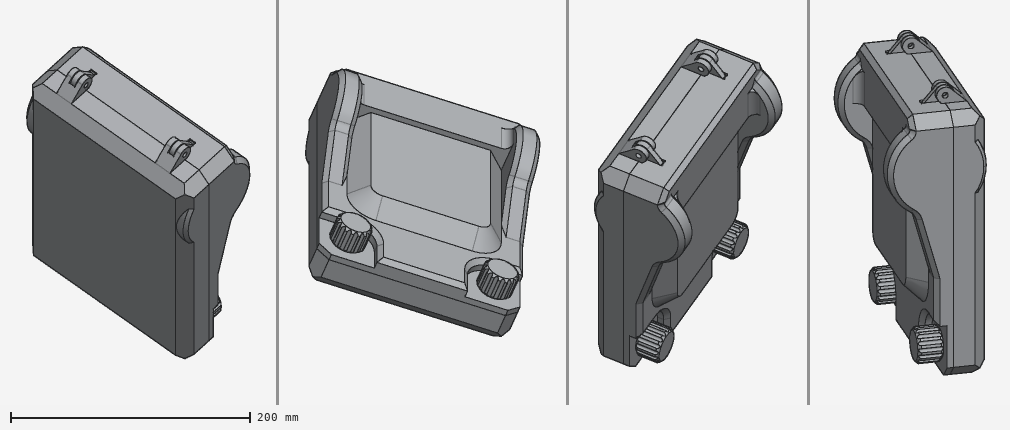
import cadquery as cq
import math

WIDTH = 180.0
HALF_WIDTH = WIDTH / 2
FULL_HEIGHT = 254.5
HEIGHT = 240.0
LID_DEPTH = 29.8
BIG_CHAMFER = 11.0
SMALL_CHAMFER = 4.3

EAR_RADIUS = 42.8
EAR_REAR = 56.2
EAR_Y = EAR_REAR - EAR_RADIUS
EAR_Z = 190.4
EAR_WIDTH = 20.9
EAR_INNER_X = HALF_WIDTH - EAR_WIDTH
EAR_BLEND = 7.6
LID_DISC_CHAMFER = 3.0

LOW_REAR = 16.0
HIGH_REAR = 36.6
RAMP_FOOT_Z = 92.0
RAMP_ANGLE = 15.5
RAMP_BLEND = 12.7
EAR_TOP_BLEND = 4.5

BLOCK_REAR = 31.5
BLOCK_BOTTOM_Z = 71.0
BLOCK_CORNER_Z = 81.5
BLOCK_RISE = BLOCK_REAR - LOW_REAR
BLOCK_HALF_WIDTH = EAR_INNER_X - BLOCK_RISE
CHAMFER_MARGIN = 0.003

KNOB_RADIUS = 15.8
KNOB_REAR = 28.0
KNOB_Z = 24.2
KNOB_X = HALF_WIDTH - KNOB_Z
KNOB_CHAMFER = 2.5
FLUTE_COUNT = 16
FLUTE_RADIUS = 1.8
FLUTE_TURN = -4
RECESS_FLOOR = 5.5
RECESS_RADIUS = 25.2

HINGE_X = 55.0
HINGE_RADIUS = 7.5
HINGE_Z = FULL_HEIGHT - HINGE_RADIUS
HINGE_HOLE_RADIUS = 2.5
HINGE_WIDTH = 16.5
SLOT_WIDTH = 6.4
SLOT_RADIUS = 9.0
TONGUE_WIDTH = 5.0
SOCKET_DEPTH = 1.8
SOCKET_REAR = 19.3
TONGUE_FOOT_Y = 17.8

SIDES = (-1, 1)


def extrude_x(outline, width, middle_x=0.0):
    """Solid from a YZ outline, centred on middle_x."""
    return outline.extrude(width / 2, both=True).translate((middle_x, 0, 0))


def box(x0, x1, y0, y1, z0, z1):
    return cq.Workplane("XY").box(x1 - x0, y1 - y0, z1 - z0, centered=False).translate((x0, y0, z0))


def octagon_box(rear):
    """Case block from the lid front to the given rear plane, with its four corners cut."""
    block = box(-HALF_WIDTH, HALF_WIDTH, -LID_DEPTH, rear, 0, HEIGHT)
    return block.edges("|Y").chamfer(BIG_CHAMFER)


def disc_x(radius, width, middle_x, y, z):
    return extrude_x(cq.Workplane("YZ").center(y, z).circle(radius), width, middle_x)


def tangent_angle(foot_y):
    """Polar angle at which a line from (foot_y, HEIGHT) touches the top of the hinge barrel."""
    drop = HEIGHT - HINGE_Z
    spread = math.acos(HINGE_RADIUS / math.hypot(foot_y, drop))
    foot_angle = math.atan2(drop, foot_y)
    return foot_angle + spread if foot_y > 0 else foot_angle - spread


def barrel_point(angle):
    return (HINGE_RADIUS * math.cos(angle), HINGE_Z + HINGE_RADIUS * math.sin(angle))


def make_clevis(middle_x):
    """Lid half of a hinge: round barrel with a straight front slope."""
    foot_y = BIG_CHAMFER - LID_DEPTH
    rear_angle = -math.pi / 4
    rear_y, rear_z = barrel_point(rear_angle)
    outline = (
        cq.Workplane("YZ")
        .moveTo(foot_y, HEIGHT)
        .lineTo(*barrel_point(tangent_angle(foot_y)))
        .threePointArc(barrel_point(math.pi / 4), (rear_y, rear_z))
        .lineTo(rear_y - (rear_z - HEIGHT), HEIGHT)
        .close()
    )
    return extrude_x(outline, HINGE_WIDTH, middle_x)


def make_tongue(middle_x):
    """Hinge tongue: round end over the parting plane, foot standing in the base socket."""
    floor_z = HEIGHT - SOCKET_DEPTH
    rear_angle = math.pi / 4
    front_angle = -3 * math.pi / 4
    rear_y, rear_z = barrel_point(rear_angle)
    front_y, front_z = barrel_point(front_angle)
    outline = (
        cq.Workplane("YZ")
        .moveTo(TONGUE_FOOT_Y, floor_z)
        .lineTo(rear_y, rear_z)
        .threePointArc(barrel_point(3 * math.pi / 4), (front_y, front_z))
        .lineTo(0, floor_z)
        .close()
    )
    hole = disc_x(HINGE_HOLE_RADIUS, HINGE_WIDTH, middle_x, 0, HINGE_Z)
    return extrude_x(outline, TONGUE_WIDTH, middle_x).cut(hole)


def make_lid():
    front_half = box(-HALF_WIDTH, HALF_WIDTH, -LID_DEPTH, 0, 0, HEIGHT)
    lid = front_half.faces("<Y").chamfer(BIG_CHAMFER).intersect(octagon_box(0))
    for side in SIDES:
        disc = disc_x(EAR_RADIUS, EAR_WIDTH, side * (HALF_WIDTH - EAR_WIDTH / 2), EAR_Y, EAR_Z)
        disc = disc.faces(">X" if side > 0 else "<X").chamfer(LID_DISC_CHAMFER)
        lid = lid.union(disc.intersect(box(-HALF_WIDTH, HALF_WIDTH, -LID_DEPTH, 0, 0, HEIGHT)))
        lid = lid.union(make_clevis(side * HINGE_X))
        lid = lid.cut(disc_x(SLOT_RADIUS, SLOT_WIDTH, side * HINGE_X, 0, HINGE_Z))
        lid = lid.cut(disc_x(HINGE_HOLE_RADIUS, HINGE_WIDTH, side * HINGE_X, 0, HINGE_Z))
    return lid


def ramp_top():
    """Point where the straight ramp runs into the lower part of the ear circle."""
    step_y = math.sin(math.radians(RAMP_ANGLE))
    step_z = math.cos(math.radians(RAMP_ANGLE))
    to_foot_y = LOW_REAR - EAR_Y
    to_foot_z = RAMP_FOOT_Z - EAR_Z
    along = to_foot_y * step_y + to_foot_z * step_z
    gap = to_foot_y**2 + to_foot_z**2 - EAR_RADIUS**2
    length = -along - math.sqrt(along**2 - gap)
    return (LOW_REAR + length * step_y, RAMP_FOOT_Z + length * step_z)


def make_cheek(side):
    """One side of the base: low wall, ramp, round ear and upper wall, chamfered at the rear."""
    ear_top_z = EAR_Z + math.sqrt(EAR_RADIUS**2 - (HIGH_REAR - EAR_Y) ** 2)
    ramp_y, ramp_z = ramp_top()
    outline = (
        cq.Workplane("YZ")
        .moveTo(0, 0)
        .lineTo(LOW_REAR, 0)
        .lineTo(LOW_REAR, RAMP_FOOT_Z)
        .lineTo(ramp_y, ramp_z)
        .threePointArc((EAR_REAR, EAR_Z), (HIGH_REAR, ear_top_z))
        .lineTo(HIGH_REAR, HEIGHT)
        .lineTo(0, HEIGHT)
        .close()
    )
    middle_x = side * (HALF_WIDTH - EAR_WIDTH / 2)
    cheek = extrude_x(outline, EAR_WIDTH, middle_x)
    cheek = cheek.edges(cq.NearestToPointSelector((middle_x, ramp_y, ramp_z))).fillet(RAMP_BLEND)
    cheek = cheek.edges(cq.NearestToPointSelector((middle_x, HIGH_REAR, ear_top_z))).fillet(EAR_TOP_BLEND)
    rear_faces = cheek.faces("not(<Y or <Z or >Z or <X or >X)").vals()
    rim = [
        edge
        for face in rear_faces
        for edge in face.Edges()
        if sum(edge.isSame(other) for near in rear_faces for other in near.Edges()) == 1
    ]
    return cheek.newObject(rim).chamfer(SMALL_CHAMFER)


def make_block():
    """Raised middle block with 45 degree walls and rounded lower corners."""
    corner_radius = BLOCK_CORNER_Z - BLOCK_BOTTOM_Z
    height = EAR_Z - BLOCK_BOTTOM_Z
    foot = (
        cq.Workplane("XZ", origin=(0, LOW_REAR, 0))
        .center(0, BLOCK_BOTTOM_Z + height / 2)
        .rect(2 * (BLOCK_HALF_WIDTH + BLOCK_RISE), height + 2 * BLOCK_RISE)
        .extrude(-BLOCK_RISE)
        .edges("|Y and <Z")
        .fillet(corner_radius + BLOCK_RISE)
    )
    return foot.faces(">Y").chamfer(BLOCK_RISE - CHAMFER_MARGIN)


def recess_outline(side, floor_y):
    """Outline rounded around the knob axis, running out past the case side and bottom."""
    axis_x = side * KNOB_X
    inner_x = side * (KNOB_X - RECESS_RADIUS)
    outer_x = side * (HALF_WIDTH + SMALL_CHAMFER)
    diagonal = RECESS_RADIUS / math.sqrt(2)
    return (
        cq.Workplane("XZ", origin=(0, floor_y, 0))
        .moveTo(outer_x, KNOB_Z + RECESS_RADIUS)
        .lineTo(axis_x, KNOB_Z + RECESS_RADIUS)
        .threePointArc((axis_x - side * diagonal, KNOB_Z + diagonal), (inner_x, KNOB_Z))
        .lineTo(inner_x, -SMALL_CHAMFER)
        .lineTo(outer_x, -SMALL_CHAMFER)
        .close()
    )


def make_recess(side):
    """Corner recess for a knob, with a chamfered rim at the rear."""
    pocket = recess_outline(side, RECESS_FLOOR).extrude(RECESS_FLOOR - LOW_REAR)
    rim = recess_outline(side, LOW_REAR - SMALL_CHAMFER).extrude(-SMALL_CHAMFER, taper=-45)
    return pocket.union(rim)


def make_ear_blend(side):
    """Concave fillet between the inner wall of an ear and the upper rear wall."""
    ear_x = side * EAR_INNER_X
    centre_x = side * (EAR_INNER_X - EAR_BLEND)
    centre_y = HIGH_REAR + EAR_BLEND
    diagonal = EAR_BLEND / math.sqrt(2)
    strip = (
        cq.Workplane("XY", origin=(0, 0, EAR_Z))
        .moveTo(ear_x, HIGH_REAR)
        .lineTo(ear_x, centre_y)
        .threePointArc((centre_x + side * diagonal, centre_y - diagonal), (centre_x, HIGH_REAR))
        .close()
        .extrude(EAR_RADIUS)
    )
    return strip.intersect(disc_x(EAR_RADIUS - SMALL_CHAMFER, WIDTH, 0, EAR_Y, EAR_Z))


def make_socket(middle_x):
    """Shallow slot in the top that takes the foot of a hinge tongue."""
    half = SLOT_WIDTH / 2
    return box(middle_x - half, middle_x + half, 0, SOCKET_REAR, HEIGHT - SOCKET_DEPTH, HEIGHT)


def corner_waste(rear, bottom, top):
    """What the cut corners and their rear chamfers remove between two heights."""
    around = box(-HALF_WIDTH, HALF_WIDTH, 0, rear, bottom, top)
    return around.cut(octagon_box(rear).faces(">Y").chamfer(SMALL_CHAMFER))


def make_base():
    inner = EAR_INNER_X + SMALL_CHAMFER
    base = box(-inner, inner, 0, LOW_REAR, 0, HEIGHT).edges(">Y and <Z").chamfer(SMALL_CHAMFER)
    upper = box(-inner, inner, 0, HIGH_REAR, EAR_Z, HEIGHT).edges(">Y and >Z").chamfer(SMALL_CHAMFER)
    base = base.union(upper).union(make_block())
    for side in SIDES:
        base = base.union(make_cheek(side)).union(make_ear_blend(side))
    corner_height = BIG_CHAMFER + SMALL_CHAMFER
    base = base.cut(corner_waste(LOW_REAR, 0, corner_height))
    base = base.cut(corner_waste(HIGH_REAR, HEIGHT - BIG_CHAMFER, HEIGHT))
    for side in SIDES:
        base = base.cut(make_recess(side)).cut(make_socket(side * HINGE_X))
    return base


def make_knob(axis_x):
    """Fluted knob standing on the recess floor, its axis along Y."""
    start = cq.Workplane("XZ", origin=(axis_x, RECESS_FLOOR, KNOB_Z))
    length = KNOB_REAR - RECESS_FLOOR
    body = start.circle(KNOB_RADIUS).extrude(-length).faces("<Y or >Y").chamfer(KNOB_CHAMFER)
    flutes = (
        start.polarArray(KNOB_RADIUS, FLUTE_TURN, 360, FLUTE_COUNT)
        .circle(FLUTE_RADIUS)
        .extrude(-length)
    )
    return body.cut(flutes)


lid = make_lid()
base = make_base()
knobs = [make_knob(side * KNOB_X) for side in SIDES]
tongues = [make_tongue(side * HINGE_X) for side in SIDES]

result = cq.Compound.makeCompound(
    [
        lid.val(),
        base.val(),
        *[knob.val() for knob in knobs],
        *[tongue.val() for tongue in tongues],
    ]
)